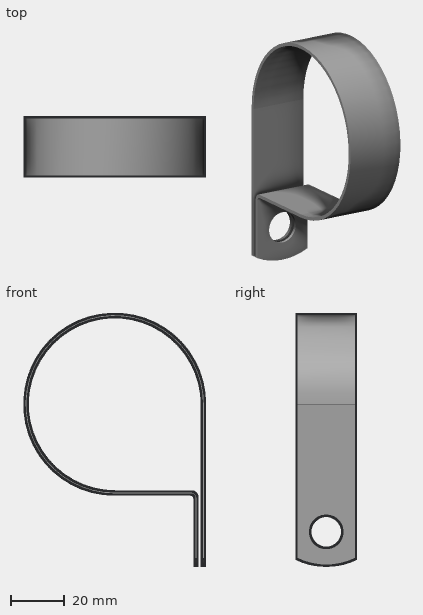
import cadquery as cq
import math

strap_width = 22.23
strap_thickness = 1.27

loop_outer_diameter = 67.51
loop_outer_radius = loop_outer_diameter / 2
loop_inner_radius = loop_outer_radius - strap_thickness

overall_height = 94.08
leg_gap = 1.52
leg_end_z = loop_outer_radius - overall_height
bent_leg_right_x = loop_inner_radius - leg_gap
bent_leg_left_x = bent_leg_right_x - strap_thickness

bend_inner_radius = strap_thickness
bend_outer_radius = bend_inner_radius + strap_thickness
bend_center_x = bent_leg_left_x - bend_inner_radius
bend_center_z = -loop_outer_radius - bend_inner_radius

hole_diameter = 11.9
hole_to_leg_end = 12.7
hole_center_z = leg_end_z + hole_to_leg_end
end_radius = 25.4


def loop_middle(radius):
    """Midpoint of the loop arc, up and to the left of its centre."""
    offset = radius * math.sqrt(0.5)
    return (-offset, offset)


def bend_middle(radius):
    """Midpoint of the bend arc, up and to the right of its centre."""
    offset = radius * math.sqrt(0.5)
    return (bend_center_x + offset, bend_center_z + offset)


def make_strap():
    """Bent strip: straight leg, loop, horizontal run and bent leg, extruded along Y."""
    return (
        cq.Workplane("XZ")
        .moveTo(loop_outer_radius, leg_end_z)
        .lineTo(loop_outer_radius, 0)
        .threePointArc(loop_middle(loop_outer_radius), (0, -loop_outer_radius))
        .lineTo(bend_center_x, -loop_outer_radius)
        .threePointArc(bend_middle(bend_inner_radius), (bent_leg_left_x, bend_center_z))
        .lineTo(bent_leg_left_x, leg_end_z)
        .lineTo(bent_leg_right_x, leg_end_z)
        .lineTo(bent_leg_right_x, bend_center_z)
        .threePointArc(bend_middle(bend_outer_radius), (bend_center_x, -loop_inner_radius))
        .lineTo(0, -loop_inner_radius)
        .threePointArc(loop_middle(loop_inner_radius), (loop_inner_radius, 0))
        .lineTo(loop_inner_radius, leg_end_z)
        .close()
        .extrude(strap_width / 2, both=True)
    )


def make_rounded_envelope():
    """Block around the whole strap whose lower end is the arc of the leg ends."""
    half_width = strap_width / 2
    arc_rise = end_radius - math.sqrt(end_radius**2 - half_width**2)
    corner_z = leg_end_z + arc_rise
    return (
        cq.Workplane("YZ")
        .moveTo(-half_width, loop_outer_radius)
        .lineTo(-half_width, corner_z)
        .threePointArc((0, leg_end_z), (half_width, corner_z))
        .lineTo(half_width, loop_outer_radius)
        .close()
        .extrude(loop_outer_radius, both=True)
    )


def make_bolt_hole():
    """Cylinder along X that passes through both legs."""
    return (
        cq.Workplane("YZ")
        .center(0, hole_center_z)
        .circle(hole_diameter / 2)
        .extrude(loop_outer_radius)
    )


result = make_strap().intersect(make_rounded_envelope()).cut(make_bolt_hole())